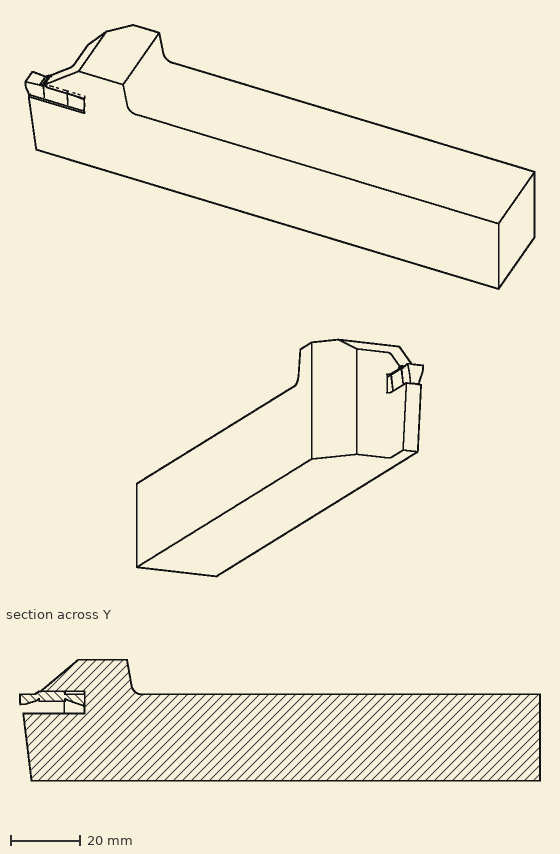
import cadquery as cq
import math

TOTAL_LENGTH = 150.0
SHANK_SIZE = 25.0
HEAD_RISE = 9.9
HEAD_FRONT_X = 16.8
HEAD_REAR_X = 30.9
HEAD_SLOPE = 40.0
HEAD_REAR_TILT = 10.0
GROOVE_RADIUS = 3.0
GROOVE_DEPTH = 0.08
FRONT_CLEARANCE = 7.0
FRONT_FOOT_X = 3.3
HEAD_TOP = SHANK_SIZE + HEAD_RISE

BLADE_THICKNESS = 4.7
SHOULDER_X = 12.8
SHOULDER_FILLET = 0.9
CORNER_CHAMFER = 9.9

INSERT_LENGTH = 18.6
INSERT_TOP = SHANK_SIZE
INSERT_BOTTOM = 19.5
END_LENGTH = 5.5
EDGE_OVERHANG = 0.3
EDGE_HALF_WIDTH = (BLADE_THICKNESS + EDGE_OVERHANG) / 2
INSERT_CENTRE_Y = EDGE_HALF_WIDTH - EDGE_OVERHANG
NECK_HALF_WIDTH = 2.0
WAIST_HALF_WIDTH = 2.1
BASE_HALF_WIDTH = 1.4
ROOF_HALF_WIDTH = 1.8
ROOF_RISE = 0.8
ROOF_Z = INSERT_TOP + ROOF_RISE
POCKET_BACK_Y = BLADE_THICKNESS + SHOULDER_FILLET

LAND_INSET = 0.08
LAND_Z = INSERT_TOP - 1.0
RELIEF_INSET = 0.23
RELIEF_Z = INSERT_TOP - 2.0
FOOT_RISE = 0.9
FOOT_Z = INSERT_BOTTOM + FOOT_RISE
FOOT_SHARE = FOOT_RISE / (INSERT_TOP - INSERT_BOTTOM)
FOOT_HALF_WIDTH = BASE_HALF_WIDTH + FOOT_SHARE * (WAIST_HALF_WIDTH - BASE_HALF_WIDTH)

CLEARANCE_DEPTH = 0.6
CLEARANCE_Z = INSERT_TOP - 2.5

RIDGE_FOOT_X = 4.4
RIDGE_CREST_X = 5.4
NOSE_FOOT_X = 6.8
NOSE_X = HEAD_FRONT_X - (HEAD_TOP - ROOF_Z) / math.tan(math.radians(HEAD_SLOPE))

CLEAR = 1.5


def holder_blank():
    """Side profile of shank and head, extruded across the shank.

    The groove arc is tangent to the tilted rear of the head and dips just below the shank top.
    """
    tilt = math.radians(HEAD_REAR_TILT)
    front_top_x = FRONT_FOOT_X - SHANK_SIZE * math.tan(math.radians(FRONT_CLEARANCE))
    centre_z = SHANK_SIZE - GROOVE_DEPTH + GROOVE_RADIUS
    wall_x = HEAD_REAR_X + (HEAD_TOP - centre_z) * math.tan(tilt)
    centre_x = wall_x + GROOVE_RADIUS / math.cos(tilt)
    groove_end_x = centre_x + math.sqrt(GROOVE_RADIUS**2 - (centre_z - SHANK_SIZE) ** 2)
    groove_start = (
        centre_x - GROOVE_RADIUS * math.cos(tilt),
        centre_z - GROOVE_RADIUS * math.sin(tilt),
    )
    return (
        cq.Workplane("XZ")
        .moveTo(FRONT_FOOT_X, 0)
        .lineTo(TOTAL_LENGTH, 0)
        .lineTo(TOTAL_LENGTH, SHANK_SIZE)
        .lineTo(groove_end_x, SHANK_SIZE)
        .threePointArc((centre_x, SHANK_SIZE - GROOVE_DEPTH), groove_start)
        .lineTo(HEAD_REAR_X, HEAD_TOP)
        .lineTo(HEAD_FRONT_X, HEAD_TOP)
        .lineTo(NOSE_X, ROOF_Z)
        .lineTo(NOSE_FOOT_X, INSERT_TOP)
        .lineTo(front_top_x, INSERT_TOP)
        .close()
        .extrude(-SHANK_SIZE)
    )


def shoulder_cut():
    """Region removed behind the blade, with a rounded inner and a bevelled outer corner."""
    cut = (
        cq.Workplane("XY")
        .polyline([
            (-CLEAR, BLADE_THICKNESS),
            (SHOULDER_X, BLADE_THICKNESS),
            (SHOULDER_X, SHANK_SIZE - CORNER_CHAMFER),
            (SHOULDER_X + CORNER_CHAMFER, SHANK_SIZE),
            (SHOULDER_X + CORNER_CHAMFER, SHANK_SIZE + CLEAR),
            (-CLEAR, SHANK_SIZE + CLEAR),
        ])
        .close()
        .extrude(HEAD_TOP)
    )
    corner = cq.selectors.NearestToPointSelector((SHOULDER_X, BLADE_THICKNESS, HEAD_TOP / 2))
    return cut.edges(corner).fillet(SHOULDER_FILLET)


def section_wire(x, left_half, right_half):
    """Closed YZ wire at x from (half width, z) points, listed downward for each side."""
    right = [cq.Vector(x, INSERT_CENTRE_Y + half, z) for half, z in right_half]
    left = [cq.Vector(x, INSERT_CENTRE_Y - half, z) for half, z in reversed(left_half)]
    return cq.Wire.makePolygon(right + left, close=True)


def extrude_along_x(wire, length):
    return cq.Workplane(cq.Solid.extrudeLinear(wire, [], cq.Vector(length, 0, 0)))


def insert_pocket():
    """Flat-floored pocket with a V roof, open at the front and at the blade side."""
    roof = [(ROOF_HALF_WIDTH, ROOF_Z), (WAIST_HALF_WIDTH, INSERT_TOP)]
    open_half_width = INSERT_CENTRE_Y + CLEAR
    back_half_width = POCKET_BACK_Y - INSERT_CENTRE_Y
    left_half = [*roof, (open_half_width, INSERT_TOP), (open_half_width, INSERT_BOTTOM)]
    right_half = [*roof, (back_half_width, INSERT_TOP), (back_half_width, INSERT_BOTTOM)]
    return extrude_along_x(section_wire(-CLEAR, left_half, right_half), INSERT_LENGTH + CLEAR)


def make_holder():
    return holder_blank().cut(shoulder_cut()).cut(insert_pocket())


def end_section(x, half_width):
    """Section of a cutting end: two side breaks on one side, a plain taper on the other."""
    top = (half_width, INSERT_TOP)
    foot = (FOOT_HALF_WIDTH, FOOT_Z)
    base = (BASE_HALF_WIDTH, INSERT_BOTTOM)
    breaks = [(half_width - LAND_INSET, LAND_Z), (half_width - RELIEF_INSET, RELIEF_Z)]
    return section_wire(x, [top, *breaks, foot, base], [top, foot, base])


def cutting_end():
    """Front end of the insert, flared towards the edge and relieved below it."""
    edge = end_section(0, EDGE_HALF_WIDTH)
    neck = end_section(END_LENGTH, NECK_HALF_WIDTH)
    clearance = (
        cq.Workplane("XZ", origin=(0, INSERT_CENTRE_Y, 0))
        .polyline([(0, CLEARANCE_Z), (CLEARANCE_DEPTH, INSERT_BOTTOM), (0, INSERT_BOTTOM)])
        .close()
        .extrude(EDGE_HALF_WIDTH, both=True)
    )
    return cq.Workplane(cq.Solid.makeLoft([edge, neck], True)).cut(clearance)


def insert_waist():
    """Straight middle of the insert with its V top and tapered sides."""
    half_section = [
        (ROOF_HALF_WIDTH, ROOF_Z),
        (WAIST_HALF_WIDTH, INSERT_TOP),
        (BASE_HALF_WIDTH, INSERT_BOTTOM),
    ]
    wire = section_wire(END_LENGTH, half_section, half_section)
    return extrude_along_x(wire, INSERT_LENGTH - 2 * END_LENGTH)


def chip_ridge():
    """Raised chip breaker in front of the nose of the head."""
    return (
        cq.Workplane("XZ", origin=(0, INSERT_CENTRE_Y, 0))
        .polyline([
            (RIDGE_FOOT_X, INSERT_TOP),
            (RIDGE_CREST_X, ROOF_Z),
            (NOSE_X, ROOF_Z),
            (NOSE_FOOT_X, INSERT_TOP),
        ])
        .close()
        .extrude(WAIST_HALF_WIDTH, both=True)
    )


def make_insert():
    """The rear cutting end is the front one turned half a turn about the insert centre."""
    front_end = cutting_end()
    centre = (INSERT_LENGTH / 2, INSERT_CENTRE_Y, 0)
    above_centre = (INSERT_LENGTH / 2, INSERT_CENTRE_Y, 1)
    rear_end = front_end.rotate(centre, above_centre, 180)
    return insert_waist().union(front_end).union(rear_end).union(chip_ridge())


holder = make_holder()
cutting_insert = make_insert()

result = cq.Compound.makeCompound([*holder.solids().vals(), *cutting_insert.solids().vals()])